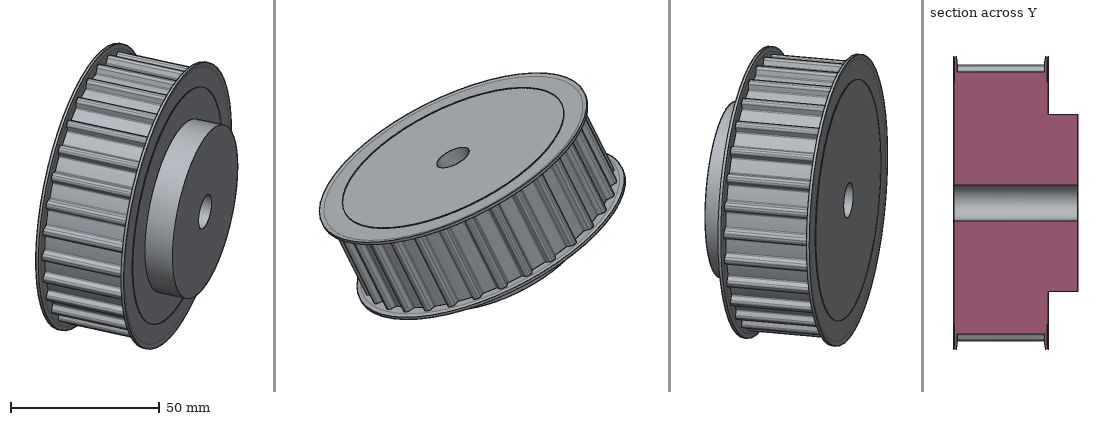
import cadquery as cq
import math


flange_radius = 49.5
total_length = 42.0
rim_length = 32.0
hub_radius = 30.0
bore_radius = 5.99

flange_thickness = 1.0
flange_seat_radius = 41.0
flange_bend_radius = 47.9
flange_bend_offset = 0.3

tooth_count = 30
tip_radius = 46.8
gap_depth = 2.5
gap_floor_width = 5.3
gap_flank_angle = 25.0
tip_fillet = 1.0
floor_fillet = 0.4

pitch_angle = 360.0 / tooth_count
floor_radius = tip_radius - gap_depth


def cylinder(radius, length):
    """Cylinder about X, starting at x = 0."""
    return cq.Workplane("YZ").circle(radius).extrude(length)


def gap_cutter():
    """Flared cutter for the tooth gap centred on +Z, starting from the floor cylinder."""
    overshoot = 1.0
    half_floor = gap_floor_width / 2
    floor_edge_z = math.sqrt(floor_radius**2 - half_floor**2)
    top_z = tip_radius + overshoot
    half_top = half_floor + (top_z - floor_edge_z) * math.tan(math.radians(gap_flank_angle))
    return (
        cq.Workplane("YZ")
        .moveTo(-half_floor, floor_edge_z)
        .threePointArc((0, floor_radius), (half_floor, floor_edge_z))
        .lineTo(half_top, top_z)
        .lineTo(-half_top, top_z)
        .close()
        .extrude(rim_length)
    )


def axial_edges_near(body, radius):
    """Edges of the toothed rim that run along X at about the given distance from the axis."""
    tolerance = 0.1
    edges = body.edges("|X").vals()
    return [e for e in edges if abs(math.hypot(e.Center().y, e.Center().z) - radius) < tolerance]


def toothed_rim():
    body = cylinder(tip_radius, rim_length)
    cutter = gap_cutter()
    for i in range(tooth_count):
        body = body.cut(cutter.rotate((0, 0, 0), (1, 0, 0), i * pitch_angle))
    body = body.newObject(axial_edges_near(body, tip_radius)).fillet(tip_fillet)
    return body.newObject(axial_edges_near(body, floor_radius)).fillet(floor_fillet)


def flange():
    """Flange at the -X end, with its rim edge at x = 0 and its flat part set slightly inward."""
    flat_x = flange_bend_offset
    return (
        cq.Workplane("XY")
        .moveTo(flat_x, 0)
        .lineTo(flat_x, flange_bend_radius)
        .lineTo(0, flange_radius)
        .lineTo(flange_thickness, flange_radius)
        .lineTo(flat_x + flange_thickness, flange_bend_radius)
        .lineTo(flat_x + flange_thickness, 0)
        .close()
        .revolve(360, (0, 0, 0), (1, 0, 0))
    )


near_flange = flange()
far_flange = near_flange.mirror("YZ").translate((rim_length, 0, 0))

between_flanges = cylinder(flange_radius, rim_length - 2 * flange_bend_offset).translate(
    (flange_bend_offset, 0, 0)
)
teeth = toothed_rim().intersect(between_flanges)
core = cylinder(flange_seat_radius, rim_length)
hub = cylinder(hub_radius, total_length)
bore = cylinder(bore_radius, total_length)

result = teeth.union(near_flange).union(far_flange).union(core).union(hub).cut(bore)